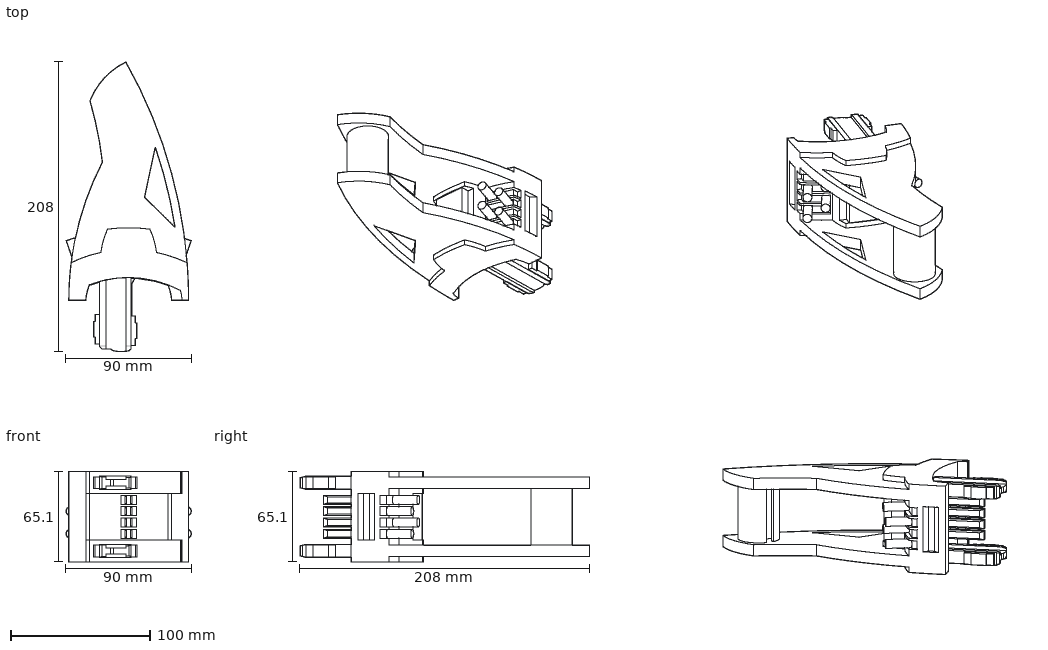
import cadquery as cq
import math

HALF_WIDTH = 43.0
HEIGHT = 65.1
MIDDLE_HALF_HEIGHT = 16.6
TIER_SPACING = 48.9

OUTER_RADIUS = 347.5
FRONT_RADIUS = 216.4
PLATE_THICKNESS = 8.3
TIP_Y = 171.2
WAIST_Y = 99.2
SHOULDER = (-27.9, 143.3)
SHOULDER_EDGE_MID = (-22.5, 121.3)
TIP_EDGE_MID = (-17.5, 159.8)
RIM_WIDTH = 5.8
WINDOW_TOP_Y = 109.8
WINDOW_BOTTOM_Y = 52.6
WINDOW_CORNER = (11.5, 74.0)

ARC_CENTRE_Y = -62.5
MOUTH_RADIUS = 78.8
MIDDLE_MOUTH_RADIUS = 78.5
BACK_RADIUS = 98.8
HOUSING_SIDE_Y = 27.0
HUMP_TOP_RADIUS = 114.6
HUMP_BASE_HALF = 20.0
HUMP_TOP_HALF = 15.2
HUMP_SIDE_BULGE = 0.73
MOUTH_ROOF_HALF = 28.3
MOUTH_OPEN_HALF = 30.8
WIDE_ROOF_HALF = 37.0
WIDE_OPEN_HALF = 38.0
MOUTH_SIDE_BULGE = 0.5
STEP_Y = 44.5
STEP_HALF = 12.5
STEP_TOP_Y = 51.2

GRIP_DEPTH = 4.0
GRIP_OUTER = (5.0, 17.3)
GRIP_FLOOR = (8.7, 13.1)

PIN_PITCH = 8.1
PIN_DIAMETER = 6.5
PIN_RADIUS = PIN_DIAMETER / 2
PIN_LENGTH = 18.5
PIN_TILT = 19.0
PIN_SHIFT = 13.1
SEAT_X = 39.0
SEAT_Y = 25.4
SEAT_LENGTH = PIN_SHIFT + PIN_DIAMETER
SEAT_NOTCH_Y = 20.8

BLADE_HALF_WIDTH = 2.5
BLADE_TIP_Y = -20.0
BLADE_HEIGHT = 6.5
BLADE_CHAMFER = 1.0
BLADE_NOSE_HALF_WIDTH = 1.5
BLADE_NOSE_Y = -16.9
FLARE_HALF_WIDTH = 5.6
FLARE_TOP_Y = 17.9
FLARE_END_Y = 12.3

PLUG_LEFT = -21.0
PLUG_RIGHT = 1.7
PLUG_ROOT_Y = 20.8
PLUG_TIP_Y = -36.8
PLUG_HEIGHT = 9.4
CHANNEL_LEFT = -16.5
CHANNEL_RIGHT = -2.0
CHANNEL_TOP_Y = 17.3
WEB_THICKNESS = 4.4
FLANGE_HEIGHT = 8.5
FLANGE_REACH = 3.1
FLANGE_SWELL = 1.0
FLANGE_LENGTH = 21.5
SWELL_LENGTH = 11.2
LEFT_FLANGE_Y = -31.5
RIGHT_FLANGE_Y = -32.5
NOSE_TAPER_Y = -32.7
NOSE_HALF_HEIGHT = 3.5
NOSE_CORNER = 1.9
NOSE_STEP_X = -13.1
NOSE_STEP_Y = -35.0
TIP_LEFT = -11.0
TIP_RIGHT = 0.2
TIP_CORNER_Y = -36.2

POST_CENTRE = (-6.7, 144.0)
POST_RADIUS = 15.0
POST_BORE_RADIUS = 12.3
POST_FLOOR = 5.0
POST_SLOT_WIDTH = 5.8
POST_SLOT_ANGLE = 225.0

TIERS = (-TIER_SPACING / 2, TIER_SPACING / 2)
SIDES = (-1, 1)
ROWS = [PIN_PITCH * (row - 1.5) for row in range(4)]


def side_x(radius, y, inset=0.0):
    """Distance from X = 0 of a side edge arc that is tangent to Y at the mouth plane."""
    return HALF_WIDTH - radius + math.sqrt((radius - inset) ** 2 - y ** 2)


def arc_y(radius, x):
    """Y of a housing arc at the given X."""
    return ARC_CENTRE_Y + math.sqrt(radius ** 2 - x ** 2)


def slab(sketch, centre_z, height):
    """Extrude a closed XY outline symmetrically about a height."""
    return sketch.extrude(height / 2, both=True).translate((0, 0, centre_z))


def block(x_range, y_range, z_range):
    """Axis-aligned box between three pairs of limits."""
    size = [limits[1] - limits[0] for limits in (x_range, y_range, z_range)]
    corner = (x_range[0], y_range[0], z_range[0])
    return cq.Workplane("XY").box(*size, centered=False).translate(corner)


def mirror_side(shape, side):
    """Return a shape drawn on the +X side, placed on the wanted side."""
    return shape if side > 0 else shape.mirror("YZ")


def plate_outline():
    tip = (side_x(OUTER_RADIUS, TIP_Y), TIP_Y)
    waist_x = -side_x(FRONT_RADIUS, WAIST_Y)
    return (
        cq.Workplane("XY")
        .moveTo(HALF_WIDTH, 0)
        .threePointArc((side_x(OUTER_RADIUS, TIP_Y / 2), TIP_Y / 2), tip)
        .threePointArc(TIP_EDGE_MID, SHOULDER)
        .threePointArc(SHOULDER_EDGE_MID, (waist_x, WAIST_Y))
        .threePointArc((-side_x(FRONT_RADIUS, WAIST_Y / 2), WAIST_Y / 2), (-HALF_WIDTH, 0))
        .close()
    )


def window_outline():
    mid_y = (WINDOW_TOP_Y + WINDOW_BOTTOM_Y) / 2
    top, middle, bottom = [
        (side_x(OUTER_RADIUS, y, RIM_WIDTH), y) for y in (WINDOW_TOP_Y, mid_y, WINDOW_BOTTOM_Y)
    ]
    return cq.Workplane("XY").moveTo(*top).threePointArc(middle, bottom).lineTo(*WINDOW_CORNER).close()


def mouth_outline(right_roof, right_open, roof_radius=MOUTH_RADIUS):
    """Opening of the mouth; the left side is the same in every tier."""
    roof_left = (-MOUTH_ROOF_HALF, arc_y(roof_radius, MOUTH_ROOF_HALF))
    roof_right = (right_roof, arc_y(roof_radius, right_roof))
    left_mid = (-(MOUTH_ROOF_HALF + MOUTH_OPEN_HALF) / 2 - MOUTH_SIDE_BULGE, roof_left[1] / 2)
    right_mid = ((right_roof + right_open) / 2 + MOUTH_SIDE_BULGE, roof_right[1] / 2)
    return (
        cq.Workplane("XY")
        .moveTo(-MOUTH_OPEN_HALF, 0)
        .threePointArc(left_mid, roof_left)
        .threePointArc((0, arc_y(roof_radius, 0)), roof_right)
        .threePointArc(right_mid, (right_open, 0))
        .close()
    )


def side_plate(centre_z):
    plate = slab(plate_outline(), centre_z, PLATE_THICKNESS)
    plate = plate.cut(slab(window_outline(), centre_z, PLATE_THICKNESS))
    return plate.cut(slab(mouth_outline(WIDE_ROOF_HALF, WIDE_OPEN_HALF), centre_z, PLATE_THICKNESS))


def post():
    """Round post with a D-shaped cavity opened by a slot toward the (-X, -Y) direction."""
    half_height = (TIER_SPACING - PLATE_THICKNESS) / 2
    cylinder = cq.Workplane("XY").circle(POST_RADIUS).extrude(half_height, both=True)
    bore = cq.Workplane("XY").circle(POST_BORE_RADIUS).extrude(half_height, both=True)
    z_range = (-half_height, half_height)
    bore_range = (-POST_BORE_RADIUS, POST_BORE_RADIUS)
    cavity = bore.intersect(block((POST_FLOOR, POST_BORE_RADIUS), bore_range, z_range))
    slot = block((POST_FLOOR, POST_RADIUS), (-POST_SLOT_WIDTH / 2, POST_SLOT_WIDTH / 2), z_range)
    hollow = cylinder.cut(cavity.union(slot))
    return hollow.rotate((0, 0, 0), (0, 0, 1), POST_SLOT_ANGLE).translate((*POST_CENTRE, 0))


def housing_outline():
    side_y = HOUSING_SIDE_Y
    right_x = side_x(OUTER_RADIUS, side_y)
    left_x = side_x(FRONT_RADIUS, side_y)
    base_y = arc_y(BACK_RADIUS, HUMP_BASE_HALF)
    top_y = arc_y(HUMP_TOP_RADIUS, HUMP_TOP_HALF)
    flank_mid_x = (HUMP_BASE_HALF + HUMP_TOP_HALF) / 2 + HUMP_SIDE_BULGE
    flank_mid_y = (base_y + top_y) / 2
    back_mid_x = (HUMP_BASE_HALF + HALF_WIDTH) / 2
    back_mid_y = arc_y(BACK_RADIUS, back_mid_x)
    return (
        cq.Workplane("XY")
        .moveTo(HALF_WIDTH, 0)
        .threePointArc((side_x(OUTER_RADIUS, side_y / 2), side_y / 2), (right_x, side_y))
        .threePointArc((back_mid_x, back_mid_y), (HUMP_BASE_HALF, base_y))
        .threePointArc((flank_mid_x, flank_mid_y), (HUMP_TOP_HALF, top_y))
        .threePointArc((0, arc_y(HUMP_TOP_RADIUS, 0)), (-HUMP_TOP_HALF, top_y))
        .threePointArc((-flank_mid_x, flank_mid_y), (-HUMP_BASE_HALF, base_y))
        .threePointArc((-back_mid_x, back_mid_y), (-left_x, side_y))
        .threePointArc((-side_x(FRONT_RADIUS, side_y / 2), side_y / 2), (-HALF_WIDTH, 0))
        .close()
    )


def housing():
    body = slab(housing_outline(), 0, HEIGHT)
    mouth = mouth_outline(MOUTH_ROOF_HALF, MOUTH_OPEN_HALF, MIDDLE_MOUTH_RADIUS)
    body = body.cut(slab(mouth, 0, HEIGHT))
    relief_height = HEIGHT / 2 - MIDDLE_HALF_HEIGHT
    relief_centre = MIDDLE_HALF_HEIGHT + relief_height / 2
    for side in SIDES:
        relief = mouth_outline(WIDE_ROOF_HALF, WIDE_OPEN_HALF)
        body = body.cut(slab(relief, side * relief_centre, relief_height))

    middle = (-MIDDLE_HALF_HEIGHT, MIDDLE_HALF_HEIGHT)
    crest_y = arc_y(HUMP_TOP_RADIUS, 0)
    body = body.cut(block((-HUMP_BASE_HALF, HUMP_BASE_HALF), (STEP_TOP_Y, crest_y), middle))
    shoulder = block((STEP_HALF, HUMP_BASE_HALF), (STEP_Y, crest_y), middle)
    for side in SIDES:
        body = body.cut(mirror_side(shoulder, side))
    return body


def grip_groove():
    floor_x = HALF_WIDTH - GRIP_DEPTH
    beyond_x = HALF_WIDTH + GRIP_DEPTH
    points = [
        (beyond_x, GRIP_OUTER[0]),
        (HALF_WIDTH, GRIP_OUTER[0]),
        (floor_x, GRIP_FLOOR[0]),
        (floor_x, GRIP_FLOOR[1]),
        (HALF_WIDTH, GRIP_OUTER[1]),
        (beyond_x, GRIP_OUTER[1]),
    ]
    return slab(cq.Workplane("XY").polyline(points).close(), 0, 2 * MIDDLE_HALF_HEIGHT)


def tilt_to_seat(shape):
    """Lean a shape built along +Y at the origin outward and move it onto the +X pin seat."""
    return shape.rotate((0, 0, 0), (0, 0, 1), -PIN_TILT).translate((SEAT_X, SEAT_Y, 0))


def pin_pocket(row_z):
    """Pocket above the tilted pin seat, with a notch at the outer end of the seat."""
    pocket = block((-SEAT_LENGTH, PIN_RADIUS), (0, PIN_LENGTH), (-PIN_RADIUS, PIN_RADIUS))
    notch = block((SEAT_X, HALF_WIDTH), (SEAT_NOTCH_Y, SEAT_Y + PIN_RADIUS), (-PIN_RADIUS, PIN_RADIUS))
    return tilt_to_seat(pocket).union(notch).translate((0, 0, row_z))


def pin(row_z, inward_shift):
    cylinder = cq.Workplane("XZ").circle(PIN_RADIUS).extrude(-PIN_LENGTH)
    return tilt_to_seat(cylinder.translate((-PIN_RADIUS - inward_shift, 0, 0))).translate((0, 0, row_z))


def blade_block(half_width, lower_y, upper_y):
    return block((-half_width, half_width), (lower_y, upper_y), (-BLADE_HEIGHT / 2, BLADE_HEIGHT / 2))


def blade_taper(lower_half, lower_y, upper_half, upper_y):
    """Full-height blade section that changes width along Y."""
    points = [(-lower_half, lower_y), (lower_half, lower_y), (upper_half, upper_y), (-upper_half, upper_y)]
    return slab(cq.Workplane("XY").polyline(points).close(), 0, BLADE_HEIGHT)


def blade_socket(row_z):
    return blade_block(FLARE_HALF_WIDTH, 0, FLARE_TOP_Y).translate((0, 0, row_z))


def blade(row_z):
    """Bar with chamfered long edges, a narrowed nose and a flared root."""
    bar = blade_block(BLADE_HALF_WIDTH, BLADE_TIP_Y, FLARE_TOP_Y).edges("|Y").chamfer(BLADE_CHAMFER)
    nose = blade_taper(BLADE_NOSE_HALF_WIDTH, BLADE_TIP_Y, BLADE_HALF_WIDTH, BLADE_NOSE_Y)
    shank = blade_block(BLADE_HALF_WIDTH, BLADE_NOSE_Y, FLARE_TOP_Y)
    flare = blade_taper(BLADE_HALF_WIDTH, FLARE_END_Y, FLARE_HALF_WIDTH, FLARE_TOP_Y)
    return bar.intersect(nose.union(shank)).union(flare).translate((0, 0, row_z))


def flange(inner_x, outward, tip_y):
    """Side flange with a swollen middle; outward is -1 or +1 along X."""
    reach_x = inner_x + outward * FLANGE_REACH
    swell_x = reach_x + outward * FLANGE_SWELL
    swell_y = tip_y + (FLANGE_LENGTH - SWELL_LENGTH) / 2
    z_range = (-FLANGE_HEIGHT / 2, FLANGE_HEIGHT / 2)
    base = block(sorted((inner_x, reach_x)), (tip_y, tip_y + FLANGE_LENGTH), z_range)
    swell = block(sorted((inner_x, swell_x)), (swell_y, swell_y + SWELL_LENGTH), z_range)
    return base.union(swell)


def plug_channels():
    """Recesses above and below the web; they run slightly into the housing wall."""
    channel = block(
        (CHANNEL_LEFT, CHANNEL_RIGHT),
        (PLUG_TIP_Y, CHANNEL_TOP_Y),
        (WEB_THICKNESS / 2, PLUG_HEIGHT / 2),
    )
    return channel.union(channel.mirror("XY"))


def plug():
    outline = (
        cq.Workplane("XY")
        .moveTo(PLUG_LEFT, PLUG_ROOT_Y)
        .lineTo(PLUG_LEFT, NOSE_STEP_Y + NOSE_CORNER)
        .lineTo(PLUG_LEFT + NOSE_CORNER, NOSE_STEP_Y)
        .lineTo(NOSE_STEP_X, NOSE_STEP_Y)
        .lineTo(TIP_LEFT, TIP_CORNER_Y)
        .threePointArc(((TIP_LEFT + TIP_RIGHT) / 2, PLUG_TIP_Y), (TIP_RIGHT, TIP_CORNER_Y))
        .lineTo(PLUG_RIGHT, NOSE_STEP_Y)
        .lineTo(PLUG_RIGHT, PLUG_ROOT_Y)
        .close()
    )
    half_height = PLUG_HEIGHT / 2
    profile = [
        (PLUG_ROOT_Y, half_height),
        (NOSE_TAPER_Y, half_height),
        (PLUG_TIP_Y, NOSE_HALF_HEIGHT),
        (PLUG_TIP_Y, -NOSE_HALF_HEIGHT),
        (NOSE_TAPER_Y, -half_height),
        (PLUG_ROOT_Y, -half_height),
    ]
    body = slab(outline, 0, PLUG_HEIGHT)
    side_profile = cq.Workplane("YZ").polyline(profile).close().extrude(-PLUG_LEFT, both=True)
    body = body.intersect(side_profile)
    body = body.union(flange(PLUG_LEFT, -1, LEFT_FLANGE_Y))
    return body.union(flange(PLUG_RIGHT, 1, RIGHT_FLANGE_Y))


result = housing()
for tier_z in TIERS:
    result = result.union(side_plate(tier_z))
    result = result.union(plug().translate((0, 0, tier_z)))
    result = result.cut(plug_channels().translate((0, 0, tier_z)))
result = result.union(post())

for side in SIDES:
    result = result.cut(mirror_side(grip_groove(), side))

for row, row_z in enumerate(ROWS):
    shift = PIN_SHIFT if row % 2 else 0
    for side in SIDES:
        result = result.cut(mirror_side(pin_pocket(row_z), side))
        result = result.union(mirror_side(pin(row_z, shift), side))
    result = result.cut(blade_socket(row_z)).union(blade(row_z))